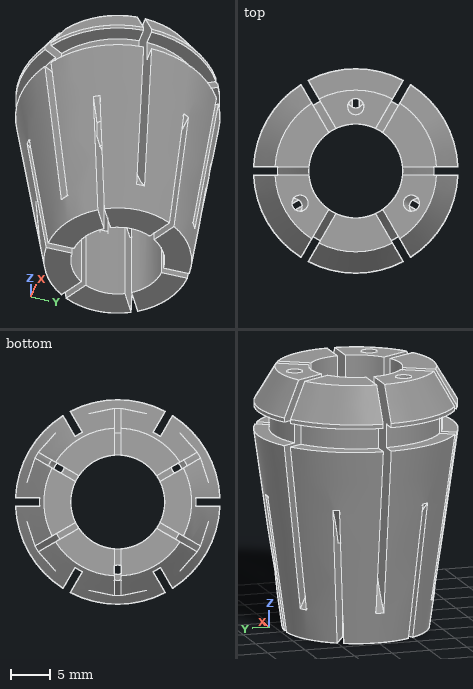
import cadquery as cq
import math

height = 34.0
bore_radius = 5.95
nose_radius = 9.4
shoulder_radius = 26.0 / 2
shoulder_z = 25.9
neck_radius = 11.0
head_z = 28.97
head_radius = 12.95
head_rim_height = 0.55
top_radius = 10.27

slots_per_end = 6
slot_pitch = 360 / slots_per_end
upper_slot_width = 1.05
upper_floor_bore_z = 11.22
upper_floor_outer_z = 4.0
upper_floor_radius = 25.5
lower_slot_width = 0.85
lower_roof_inner_z = 12.95
lower_roof_outer_z = 18.02
lower_roof_arc_start = 8.75
lower_roof_radius = 20.4

hole_count = 3
hole_radius = 1.02
hole_circle_radius = 8.15
hole_depth = 21.25
hole_tilt = 2.4
first_hole_angle = 90

margin = 1.7


def taper_radius(z):
    """Radius of the long outer taper at height z."""
    return nose_radius + (shoulder_radius - nose_radius) * z / shoulder_z


def collet_body():
    profile = [
        (bore_radius, 0),
        (nose_radius, 0),
        (shoulder_radius, shoulder_z),
        (neck_radius, shoulder_z),
        (neck_radius, head_z),
        (head_radius, head_z),
        (head_radius, head_z + head_rim_height),
        (top_radius, height),
        (bore_radius, height),
    ]
    return cq.Workplane("XZ").polyline(profile).close().revolve(360, (0, 0), (0, 1))


def arc_bulge_point(start, end, radius, side):
    """Middle of an arc from start to end; side is +1 or -1 for left or right of the chord."""
    run = end[0] - start[0]
    rise = end[1] - start[1]
    chord = math.hypot(run, rise)
    bulge = radius - math.sqrt(radius**2 - (chord / 2) ** 2)
    return (
        (start[0] + end[0]) / 2 - side * bulge * rise / chord,
        (start[1] + end[1]) / 2 + side * bulge * run / chord,
    )


def upper_slot_cutter():
    """Radial slot along +X, open at the top, with an arced floor."""
    start = (bore_radius, upper_floor_bore_z)
    end = (taper_radius(upper_floor_outer_z), upper_floor_outer_z)
    middle = arc_bulge_point(start, end, upper_floor_radius, -1)
    profile = (
        cq.Workplane("XZ")
        .moveTo(bore_radius - margin, upper_floor_bore_z)
        .lineTo(*start)
        .threePointArc(middle, end)
        .lineTo(shoulder_radius + margin, upper_floor_outer_z)
        .lineTo(shoulder_radius + margin, height + margin)
        .lineTo(bore_radius - margin, height + margin)
        .close()
    )
    return profile.extrude(upper_slot_width / 2, both=True)


def lower_slot_cutter():
    """Radial slot along +X, open at the bottom, with a flat then arced roof."""
    start = (lower_roof_arc_start, lower_roof_inner_z)
    end = (taper_radius(lower_roof_outer_z), lower_roof_outer_z)
    middle = arc_bulge_point(start, end, lower_roof_radius, 1)
    profile = (
        cq.Workplane("XZ")
        .moveTo(bore_radius - margin, lower_roof_inner_z)
        .lineTo(*start)
        .threePointArc(middle, end)
        .lineTo(shoulder_radius + margin, lower_roof_outer_z)
        .lineTo(shoulder_radius + margin, -margin)
        .lineTo(bore_radius - margin, -margin)
        .close()
    )
    return profile.extrude(lower_slot_width / 2, both=True)


def hole_cutter():
    """Flat-bottomed hole on the +X side, tilted about its centre in the top face."""
    hole = cq.Workplane("XY").circle(hole_radius).extrude(hole_depth + margin)
    hole = hole.translate((0, 0, -hole_depth))
    hole = hole.rotate((0, 0, 0), (0, 1, 0), -hole_tilt)
    return hole.translate((hole_circle_radius, 0, height))


def cut_around(body, cutter, count, first_angle):
    """Cut evenly spaced copies of a cutter around the Z axis."""
    for index in range(count):
        angle = first_angle + index * 360 / count
        body = body.cut(cutter.rotate((0, 0, 0), (0, 0, 1), angle))
    return body


result = collet_body()
result = cut_around(result, upper_slot_cutter(), slots_per_end, 0)
result = cut_around(result, lower_slot_cutter(), slots_per_end, slot_pitch / 2)
result = cut_around(result, hole_cutter(), hole_count, first_hole_angle)